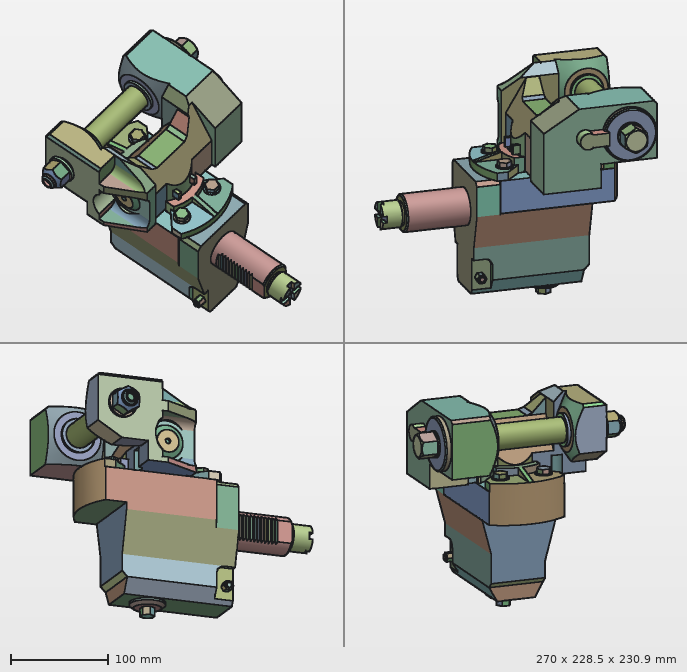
import cadquery as cq
import math


plate_radius = 76.0
plate_half_width = 42.0
plate_bottom = 3.0
seat_z = 38.8
body_left = -40.0
rear_block_start = 60.0
rear_face = 85.3
rear_half_width = 40.0
rear_chamfer = 4.5
waist_half_width = 30.0
waist_break_front = -4.5
waist_break_back = 9.0
flank_height = 44.8
foot_taper_z = -73.0
body_bottom = -88.9
foot_half_width = 21.0
body_left_chamfer = 5.7
shank_radius = 20.0
shank_end = 154.2
coupling_radius = 14.3
coupling_end = 178.05
coupling_slot_width = 7.0

pad_top = 47.6
pad_half_width = 41.4
hub_top = 55.5
hub_inner_radius = 37.0
hub_outer_radius = 46.0
hub_half_width = 24.0
rib_width = 5.2
screw_x = 50.0
screw_y = 24.0

fork_top = 127.6
fork_right = 31.0
leg_left = -31.0
far_outer_y = 94.6
far_inner_y = 40.7
near_outer_y = -79.0
near_inner_y = -43.0
far_left = -91.93
far_bottom = 64.8
near_left = -86.6
near_bottom = 59.7
ridge_left = -10.0
ridge_right = 15.0
ridge_z = 99.0
ridge_half_width = 22.0
bridge_slope = 1.62
bridge_right = 26.5
bridge_recess_y = 52.0
step_x = -15.0
seat_bore_z = 69.3
pocket_wall_y = -53.0

arbor_x = -61.0
arbor_z = 95.5
arbor_radius = 13.6
arbor_far_end = 120.8
arbor_near_end = -107.7
nut_across_flats = 24.0

overrun = 5.0
cutter_reach = 300.0
hex_turn = 30.0


def box(x0, x1, y0, y1, z0, z1):
    return cq.Workplane("XY").box(x1 - x0, y1 - y0, z1 - z0, centered=False).translate((x0, y0, z0))


def prism_x(points, x0, x1):
    """Prism along X from an outline of (y, z) points."""
    return cq.Workplane("YZ").workplane(offset=x0).polyline(points).close().extrude(x1 - x0)


def prism_y(points, y0, y1):
    """Prism along Y from an outline of (x, z) points."""
    return cq.Workplane("XZ").workplane(offset=-y1).polyline(points).close().extrude(y1 - y0)


def prism_z(points, z0, z1):
    """Prism along Z from an outline of (x, y) points."""
    return cq.Workplane("XY").workplane(offset=z0).polyline(points).close().extrude(z1 - z0)


def disc_x(radius, x0, x1):
    return cq.Workplane("YZ").workplane(offset=x0).circle(radius).extrude(x1 - x0)


def disc_y(radius, x, z, y0, y1):
    return cq.Workplane("XZ").workplane(offset=-y1).center(x, z).circle(radius).extrude(y1 - y0)


def disc_z(radius, x, y, z0, z1):
    return cq.Workplane("XY").workplane(offset=z0).center(x, y).circle(radius).extrude(z1 - z0)


def hexagon_corners(across_flats):
    return across_flats / math.cos(math.pi / 6)


def hex_z(across_flats, x, y, z0, z1):
    diameter = hexagon_corners(across_flats)
    return cq.Workplane("XY").workplane(offset=z0).center(x, y).polygon(6, diameter).extrude(z1 - z0)


def body_outline(half_width):
    """YZ outline of the body for a given half width at the top; both flanks share their planes."""
    flank_slope = (plate_half_width - waist_half_width) / flank_height
    drop = (plate_half_width - half_width) / flank_slope
    return [
        (-half_width, seat_z),
        (-half_width, waist_break_front - drop),
        (-waist_half_width, waist_break_front - flank_height),
        (-waist_half_width, foot_taper_z),
        (-foot_half_width, body_bottom),
        (foot_half_width, body_bottom),
        (waist_half_width, foot_taper_z),
        (waist_half_width, waist_break_back - flank_height),
        (half_width, waist_break_back - drop),
        (half_width, seat_z),
    ]


def make_body():
    main = prism_x(body_outline(plate_half_width), body_left, rear_block_start)
    foot_left = body_left + body_left_chamfer
    corner = prism_y(
        [
            (body_left - overrun, foot_taper_z + body_left_chamfer),
            (body_left, foot_taper_z + body_left_chamfer),
            (foot_left, foot_taper_z),
            (foot_left, body_bottom - overrun),
            (body_left - overrun, body_bottom - overrun),
        ],
        -plate_half_width,
        plate_half_width,
    )
    rear = prism_x(body_outline(rear_half_width), rear_block_start, rear_face)
    rear = rear.faces(">Z").edges("|X").chamfer(rear_chamfer)
    plate = disc_z(plate_radius, 0, 0, plate_bottom, seat_z)
    plate = plate.intersect(
        box(-plate_radius, rear_block_start, -plate_half_width, plate_half_width, plate_bottom, seat_z)
    )
    return main.cut(corner).union(rear).union(plate)


def foot_recesses():
    """Flat recesses in both flanks at the foot of the rear block, rounded at the upper corner."""
    recess_left = 64.8
    recess_bottom = -83.6
    corner_radius = 9.0
    recess_top = waist_break_front - flank_height
    taper_slope = (waist_half_width - foot_half_width) / (foot_taper_z - body_bottom)
    floor_y = waist_half_width - (foot_taper_z - recess_bottom) * taper_slope
    right = rear_face + overrun
    recess = box(recess_left, right, floor_y, plate_half_width, recess_bottom, recess_top)
    recess = recess.edges("|Y and <X and >Z").fillet(corner_radius)
    return recess.union(recess.mirror("XZ"))


def make_foot_screws():
    """Hexagon screw standing on the floor of each foot recess."""
    foot_screw_x = 77.2
    foot_screw_z = -70.0
    head_reach = 32.5
    pin_reach = 34.2
    head_flats = 9.0
    pin_radius = 2.8
    head = (
        cq.Workplane("XZ").workplane(offset=-head_reach).center(foot_screw_x, foot_screw_z)
        .polygon(6, hexagon_corners(head_flats)).extrude(2 * head_reach)
    )
    return head.union(disc_y(pin_radius, foot_screw_x, foot_screw_z, -pin_reach, pin_reach))


def make_bottom_plug():
    flange_radius = 18.9
    flange_bottom = -91.2
    cone_radius = 14.5
    cone_bottom = -94.6
    hex_flats = 13.4
    hex_bottom = -103.32
    plug = (
        cq.Workplane("XZ")
        .polyline([
            (0, body_bottom), (flange_radius, body_bottom), (flange_radius, flange_bottom),
            (cone_radius, cone_bottom), (0, cone_bottom),
        ])
        .close().revolve(360, (0, 0), (0, 1))
    )
    head = hex_z(hex_flats, 0, 0, hex_bottom, cone_bottom)
    return plug.union(head.rotate((0, 0, 0), (0, 0, 1), hex_turn))


def make_shank():
    end_chamfer = 1.5
    neck_radius = 12.8
    coupling_start = 157.0
    coupling_slot_depth = 4.0
    flat_start = 92.5
    flat_y = -16.3
    first_groove = 96.5
    groove_count = 11
    groove_pitch = 4.0
    groove_depth = 2.0
    groove_half_width = 1.5
    shank = disc_x(shank_radius, rear_face, shank_end).faces(">X").chamfer(end_chamfer)
    shank = shank.cut(
        box(flat_start, shank_end + overrun, -shank_radius - overrun, flat_y, -shank_radius, shank_radius)
    )
    for i in range(groove_count):
        x = first_groove + i * groove_pitch
        groove = prism_z(
            [(x - groove_half_width, flat_y), (x, flat_y + groove_depth), (x + groove_half_width, flat_y)],
            -shank_radius,
            shank_radius,
        )
        shank = shank.cut(groove)
    coupling = disc_x(coupling_radius, coupling_start, coupling_end)
    slot_start = coupling_end - coupling_slot_depth
    half_slot = coupling_slot_width / 2
    reach = coupling_radius + overrun
    coupling = coupling.cut(box(slot_start, coupling_end, -half_slot, half_slot, -reach, reach))
    coupling = coupling.cut(box(slot_start, coupling_end, -reach, reach, -half_slot, half_slot))
    neck = disc_x(neck_radius, shank_end, coupling_start)
    return shank.union(neck).union(coupling)


def make_clamp_segment():
    """Segment of the clamp ring on the +X side: pad, hub arc, radial rib and two screws."""
    pad_inner = (34.0, 23.0)
    pad_corner_x = 51.6
    rib_start = 44.0
    rib_crest_end = 46.5
    washer_radius = 9.0
    washer_height = 0.8
    screw_flats = 13.0
    screw_height = 6.0
    inner_x, inner_y = pad_inner
    pad = prism_z(
        [
            (inner_x, -inner_y), (pad_corner_x, -pad_half_width), (plate_radius, -pad_half_width),
            (plate_radius, pad_half_width), (pad_corner_x, pad_half_width), (inner_x, inner_y),
        ],
        seat_z,
        pad_top,
    )
    pad = pad.intersect(disc_z(plate_radius, 0, 0, seat_z, pad_top))
    hub = disc_z(hub_outer_radius, 0, 0, seat_z, hub_top)
    hub = hub.intersect(box(0, hub_outer_radius, -hub_half_width, hub_half_width, seat_z, hub_top))
    rib = prism_y(
        [(rib_start, pad_top), (rib_start, hub_top), (rib_crest_end, hub_top), (plate_radius, pad_top)],
        -rib_width / 2,
        rib_width / 2,
    )
    segment = pad.union(hub).union(rib).cut(disc_z(hub_inner_radius, 0, 0, seat_z, hub_top))
    for side in (-1, 1):
        y = side * screw_y
        segment = segment.union(disc_z(washer_radius, screw_x, y, pad_top, pad_top + washer_height))
        head = hex_z(screw_flats, 0, 0, pad_top, pad_top + screw_height)
        head = head.rotate((0, 0, 0), (0, 0, 1), hex_turn)
        segment = segment.union(head.translate((screw_x, y, 0)))
    return segment


def make_holder():
    holder = make_body().cut(foot_recesses()).union(make_foot_screws())
    holder = holder.union(make_bottom_plug()).union(make_shank())
    for angle in (0, 180):
        holder = holder.union(make_clamp_segment().rotate((0, 0, 0), (0, 0, 1), angle))
    return holder


def arm_bevel(inner_y, side, cone_radius):
    """Material turned off the inner end of an arm: a cone round the arbor and a straight chamfer."""
    cone_reach = 70.0
    cone_slope = 0.69
    edge_chamfer = 10.6
    cone_depth = (cone_reach - cone_radius) * cone_slope
    cone = (
        cq.Workplane("XY")
        .polyline([(cone_radius, 0), (cone_reach, 0), (cone_reach, side * cone_depth)])
        .close().revolve(360, (0, 0), (0, 1))
        .translate((arbor_x, inner_y, arbor_z))
    )
    cone_zone = box(
        far_left - overrun, leg_left, -cutter_reach, cutter_reach, near_bottom - overrun, fork_top + overrun
    )
    edge = prism_x(
        [
            (inner_y, fork_top - edge_chamfer),
            (inner_y, fork_top),
            (inner_y + side * edge_chamfer, fork_top),
        ],
        leg_left,
        fork_right,
    )
    return cone.intersect(cone_zone).union(edge)


def make_far_arm():
    far_cone_radius = 26.0
    corner = 3.5
    arm = prism_y(
        [
            (far_left, far_bottom), (leg_left, far_bottom), (leg_left, seat_z), (fork_right, seat_z),
            (fork_right, fork_top), (far_left + corner, fork_top), (far_left, fork_top - corner),
        ],
        far_inner_y,
        far_outer_y,
    )
    return arm.cut(arm_bevel(far_inner_y, 1, far_cone_radius))


def make_near_arm():
    near_cone_radius = 23.5
    left_bottom = 75.4
    underside_x = -60.2
    corner = 3.0
    arm = prism_y(
        [
            (near_left, left_bottom), (underside_x, near_bottom), (leg_left, near_bottom),
            (leg_left, seat_z), (fork_right, seat_z), (fork_right, fork_top),
            (near_left + corner, fork_top), (near_left, fork_top - corner),
        ],
        near_outer_y,
        near_inner_y,
    )
    arm = arm.faces("<Y").edges(">Z").chamfer(corner)
    return arm.cut(arm_bevel(near_inner_y, -1, near_cone_radius)).cut(near_arm_relief())


def near_arm_relief():
    """Cuts at the +X end of the near arm: slanted end, top step, side pocket and spot face."""
    slant_start_x = -8.7
    slant_end_y = -57.0
    top_floor_z = 105.0
    top_wall_y = -54.0
    top_fillet = 8.2
    pocket_bottom = 44.5
    pocket_top = 94.0
    pocket_fillet = 9.5
    spot_radius = 22.6
    right = fork_right + overrun
    front = near_outer_y - overrun
    slant = prism_z(
        [
            (slant_start_x, near_outer_y), (fork_right, slant_end_y), (right, slant_end_y),
            (right, front), (slant_start_x, front),
        ],
        seat_z,
        fork_top,
    )
    top_step = box(step_x, right, front, top_wall_y, top_floor_z, fork_top + overrun)
    top_step = top_step.edges("|X and >Y and <Z").fillet(top_fillet)
    pocket = box(step_x, right, front, pocket_wall_y, pocket_bottom, pocket_top)
    pocket = pocket.faces(">Y").edges("|X").fillet(pocket_fillet)
    spot = disc_y(spot_radius, 0, seat_bore_z, front, pocket_wall_y)
    return slant.union(top_step).union(pocket).union(spot)


def make_plug():
    """Conical plug seated on the floor of the near arm's spot face."""
    base_radius = 18.0
    face_radius = 12.0
    socket_radius = 2.7
    height = 4.0
    socket_depth = 3.0
    plug = (
        cq.Workplane("XZ", origin=(0, pocket_wall_y, seat_bore_z)).circle(base_radius)
        .workplane(offset=height).circle(face_radius).loft()
    )
    face_y = pocket_wall_y - height
    return plug.cut(disc_y(socket_radius, 0, seat_bore_z, face_y, face_y + socket_depth))


def make_bridge():
    """Roof-shaped bridge between the arms, with a round foot that turns inside the clamp ring."""
    nose_radius = 36.5
    foot_radius = 33.3
    ramp_knee_y = 28.0
    ramp_knee_z = 101.5
    notch_x = -35.0
    notch_y = 31.0
    notch_radius = 8.0
    left_eave_z = ridge_z - (ridge_left - leg_left) * bridge_slope
    bridge = box(leg_left, bridge_right, near_inner_y, far_inner_y, seat_z, ridge_z)
    nose = disc_z(nose_radius, 0, 0, seat_z, ridge_z)
    nose = nose.intersect(box(-nose_radius, 0, -nose_radius, nose_radius, seat_z, ridge_z))
    bridge = bridge.union(nose).union(disc_z(foot_radius, 0, 0, seat_z, ridge_z))
    for side, wall_y in ((1, far_inner_y), (-1, -near_inner_y)):
        ramp = prism_x(
            [
                (side * ridge_half_width, ridge_z),
                (side * wall_y, ridge_z),
                (side * wall_y, ramp_knee_z + wall_y - ramp_knee_y),
                (side * ramp_knee_y, ramp_knee_z),
            ],
            ridge_left,
            bridge_right,
        )
        bridge = bridge.union(ramp)
    run = nose_radius + overrun + ridge_left
    left_flank = prism_y(
        [
            (ridge_left, ridge_z),
            (ridge_left - run, ridge_z - run * bridge_slope),
            (ridge_left - run, ridge_z),
        ],
        near_inner_y,
        far_inner_y,
    )
    notch = disc_z(notch_radius, notch_x, notch_y, seat_z, left_eave_z + 2 * notch_radius)
    return bridge.cut(left_flank).cut(notch)


def right_flank_cut():
    """Recess behind the bridge: its sloping +X flank and the upright face below it."""
    break_z = ridge_z - (bridge_right - ridge_right) * bridge_slope
    top_x = ridge_right - (fork_top - ridge_z) / bridge_slope
    right = fork_right + overrun
    foot_z = ridge_z - (right - ridge_right) * bridge_slope
    slope = prism_y(
        [(top_x, fork_top), (right, foot_z), (right, fork_top)], near_inner_y, bridge_recess_y
    )
    wall = box(bridge_right, right, far_inner_y, bridge_recess_y, seat_z, break_z)
    return slope.union(wall)


def end_slope_cut():
    slope_start_x = -7.5
    slope_end_z = 105.0
    return prism_y(
        [(slope_start_x, fork_top), (fork_right, slope_end_z), (fork_right, fork_top)],
        near_outer_y - overrun,
        far_outer_y + overrun,
    )


def clamp_ring_clearance():
    ring = disc_z(hub_outer_radius, 0, 0, seat_z, hub_top).cut(
        disc_z(hub_inner_radius, 0, 0, seat_z, hub_top)
    )
    return ring.intersect(
        box(-hub_outer_radius, hub_outer_radius, -hub_half_width, hub_half_width, seat_z, hub_top)
    )


def leg_reliefs():
    """Inner -X edges of the legs: a round groove in the near leg, a set-back face on the far leg."""
    groove_radius = 6.0
    groove_y = -46.8
    relief_depth = 4.0
    groove = disc_z(groove_radius, leg_left, groove_y, seat_z, near_bottom)
    step = box(leg_left, leg_left + relief_depth, far_inner_y, bridge_recess_y, seat_z, far_bottom)
    return groove.union(step)


def make_lug(y):
    """Small stop lug on the bridge, standing on the clamp ring."""
    lug_width = 4.0
    lug_left = 30.0
    lug_right = 37.6
    lug_top = 65.5
    return box(lug_left, lug_right, y - lug_width / 2, y + lug_width / 2, hub_top, lug_top)


def arbor_nut(seat_y, end_y, turned_length, end_radius):
    """Hexagon nut with corners up and down, its outer end turned to a cone."""
    length = end_y - seat_y
    direction = math.copysign(1, length)
    diameter = hexagon_corners(nut_across_flats)
    nut = cq.Workplane("XZ").polygon(6, diameter).extrude(-length).rotate((0, 0, 0), (0, 1, 0), hex_turn)
    turned = (
        cq.Workplane("XY")
        .polyline([
            (0, 0), (diameter / 2, 0), (diameter / 2, length - direction * turned_length),
            (end_radius, length), (0, length),
        ])
        .close().revolve(360, (0, 0), (0, 1))
    )
    return nut.intersect(turned).translate((arbor_x, seat_y, arbor_z))


def make_arbor():
    collar_far = (18.0, 37.8)
    collar_near = (17.5, -39.5)
    collar_seat = 1.0
    flange_radius = 28.7
    flange_y = 101.0
    far_washer_radius = 14.0
    near_washer_radius = 15.0
    far_nut_start = 102.9
    near_washer = (-85.3, -82.0)
    near_stem_radius = 11.5
    near_nut_end = -103.2
    near_cone_length = 5.0
    near_cone_radius = 9.0
    far_cone_length = 2.0
    far_cone_radius = 11.3
    tip_radius = 8.0
    tip_chamfer = 2.0
    socket_radius = 4.5
    socket_depth = 4.0
    flange_chamfer = 1.5
    arbor = disc_y(arbor_radius, arbor_x, arbor_z, near_inner_y, far_inner_y)
    arbor = arbor.union(disc_y(collar_far[0], arbor_x, arbor_z, collar_far[1], far_inner_y))
    arbor = arbor.union(disc_y(collar_near[0], arbor_x, arbor_z, near_inner_y - collar_seat, collar_near[1]))
    flange = disc_y(flange_radius, arbor_x, arbor_z, far_outer_y, flange_y)
    flange = flange.faces(">Y").chamfer(flange_chamfer)
    arbor = arbor.union(flange)
    arbor = arbor.union(disc_y(far_washer_radius, arbor_x, arbor_z, flange_y, far_nut_start))
    arbor = arbor.union(arbor_nut(far_nut_start, arbor_far_end, far_cone_length, far_cone_radius))
    arbor = arbor.union(disc_y(near_stem_radius, arbor_x, arbor_z, near_washer[0], near_outer_y))
    arbor = arbor.union(disc_y(near_washer_radius, arbor_x, arbor_z, *near_washer))
    arbor = arbor.union(arbor_nut(near_washer[0], near_nut_end, near_cone_length, near_cone_radius))
    tip = disc_y(tip_radius, arbor_x, arbor_z, arbor_near_end, near_nut_end)
    tip = tip.faces("<Y").chamfer(tip_chamfer)
    socket = disc_y(socket_radius, arbor_x, arbor_z, arbor_near_end, arbor_near_end + socket_depth)
    return arbor.union(tip).cut(socket)


def make_flange_lock():
    """Screw and key block that keep the arbor flange from turning."""
    screw_x_centre = -13.5
    screw_radius = 8.8
    block_left = -36.5
    block_half_height = 7.0
    lock_y = 107.0
    block = box(
        block_left, screw_x_centre, far_outer_y, lock_y,
        arbor_z - block_half_height, arbor_z + block_half_height,
    )
    return block.union(disc_y(screw_radius, screw_x_centre, arbor_z, far_outer_y, lock_y))


def make_fork():
    lug_y = 12.5
    fork = make_far_arm().union(make_near_arm()).union(make_bridge())
    fork = fork.cut(right_flank_cut()).cut(end_slope_cut()).cut(clamp_ring_clearance()).cut(leg_reliefs())
    for y in (-lug_y, lug_y):
        fork = fork.union(make_lug(y))
    return fork.union(make_plug()).union(make_arbor()).union(make_flange_lock())


holder = make_holder()
fork = make_fork()
result = cq.Compound.makeCompound([holder.solids().val(), fork.solids().val()])